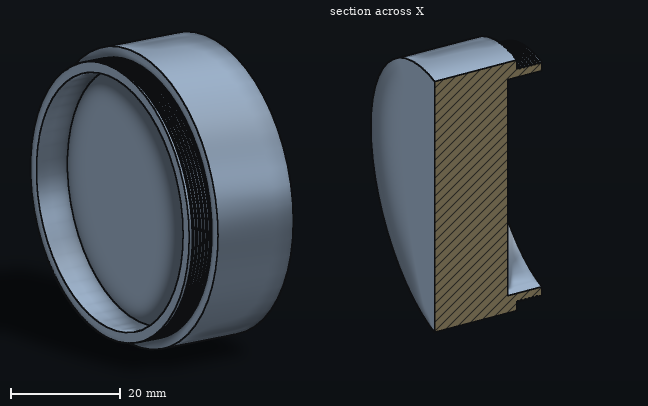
import cadquery as cq

body_diameter = 56
total_length = 21.5
spigot_length = 5.0
body_length = total_length - spigot_length

wall_step = 4.0
spigot_diameter = body_diameter - wall_step
recess_diameter = spigot_diameter - wall_step
recess_depth = 6.8

thread_length = 4.7
thread_turns = 6.25
thread_pitch = thread_length / thread_turns
groove_width = 0.35
groove_depth = 0.15
groove_overshoot = 0.05


def cylinder(diameter, start, length):
    """Cylinder running towards -Y from the given Y position."""
    return cq.Workplane("XZ", origin=(0, start, 0)).circle(diameter / 2).extrude(length)


def thread_cutter():
    """V-section helix, built along Z and then turned to advance towards -Y."""
    radius = spigot_diameter / 2
    half_width = groove_width / 2
    outer_half_width = half_width * (1 + groove_overshoot / groove_depth)
    path = cq.Wire.makeHelix(thread_pitch, thread_length, radius)
    section = cq.Workplane("XZ").polyline([
        (radius - groove_depth, 0),
        (radius + groove_overshoot, outer_half_width),
        (radius + groove_overshoot, -outer_half_width),
    ]).close()
    cutter = section.sweep(path, isFrenet=True)
    at_minus_x = cutter.rotate((0, 0, 0), (0, 0, 1), 180)
    return at_minus_x.rotate((0, 0, 0), (1, 0, 0), 90)


body = cylinder(body_diameter, body_length, body_length)
spigot = cylinder(spigot_diameter, 0, spigot_length)

spigot = spigot.cut(thread_cutter())
result = body.union(spigot)

recess_floor = recess_depth - spigot_length
result = result.cut(cylinder(recess_diameter, recess_floor, recess_depth))